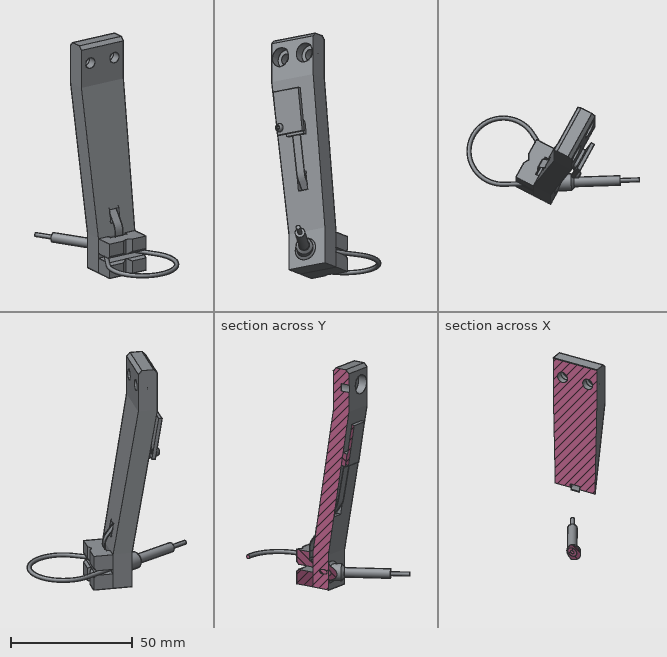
import cadquery as cq
import math

total_height = 96.0
arm_thickness = 8.1
foot_width = 18.1
head_width = 20.9
foot_height = 15.0
head_height = 18.0
head_setback = 10.4
head_chamfer = 1.5
head_bottom = total_height - head_height

mount_hole_diameter = 4.5
counterbore_diameter = 8.0
counterbore_depth = 4.0
mount_hole_spacing = 12.0
mount_hole_drop = 8.0

jaw_depth = 8.2
jaw_gap = 2.0
jaw_edge_chamfer = 1.1
groove_half_width = 2.2
groove_depth = 1.2
recess_width = 8.2
recess_depth = 1.5
recess_height = 3.8

cable_diameter = 1.7
cable_height = foot_height / 2
cable_angle = 30.0
loop_radius = 14.1
loop_center_x = 26.9
tail_end_x = -28.3
strand_end_x = 3.8

sleeve_diameter = 4.0
sleeve_end_x = -21.4
boot_diameter = 7.0
boot_end_x = -5.0
boot_chamfer = 1.2
skirt_length = 0.9
skirt_spread = 1.1

block_width = 8.4
block_thickness = 2.0
block_bottom = 40.0
block_height = 5.9
block_fillet = 1.3

plate_width = 12.5
plate_height = 18.0
plate_thickness = 1.5
plate_bottom = 41.1
plate_left = 7.7

screw_y = 6.2
screw_up = 44.0
screw_head_diameter = 3.5
screw_head_height = 1.4
screw_shank_diameter = 2.0
socket_width = 1.4
socket_depth = 0.6

strip_width = 3.8
strip_thickness = 0.3
strip_seat = 1.0
strip_top_offset = 1.0
strip_bend_offset = 0.6
strip_bend_up = 24.3
strip_dive_angle = 53.0
strip_foot_x = 9.8
strip_foot_radius = 6.2
strip_foot_rise = 1.5
strip_clamped_length = 2.9
window_width = 4.6
window_rear_top = 24.9
window_rear_bottom = 17.2
window_sill = 1.5
window_front_top = 9.6
window_front_bottom = 3.8

slope_rise = head_bottom - foot_height
slope_length = math.hypot(head_setback, slope_rise)
slope_sin = head_setback / slope_length
slope_cos = slope_rise / slope_length
slope_thickness = arm_thickness * slope_cos


def slope_point(up, out):
    """(x, z) of a point 'up' along the slope and 'out' from its rear face."""
    return (-up * slope_sin - out * slope_cos, foot_height + up * slope_cos - out * slope_sin)


def slope_plane(out):
    """Plane parallel to the rear slope: local x is -Y, local y runs up the slope."""
    x, z = slope_point(0, out)
    return cq.Workplane(cq.Plane((x, 0, z), (0, -1, 0), (-slope_cos, 0, -slope_sin)))


cable_cos = math.cos(math.radians(cable_angle))
cable_sin = math.sin(math.radians(cable_angle))
strand_cross_x = loop_center_x - loop_radius / cable_sin


def tail_point(x):
    """Point on the tail's centre line at a given X."""
    return cq.Vector(x, (x - strand_cross_x) * cable_sin / cable_cos, cable_height)


def tail_cylinder(diameter, end_x):
    """Cylinder around the tail, from its end back to inside the arm's foot."""
    end = tail_point(end_x)
    length = (arm_thickness - end_x) / cable_cos
    plane = cq.Plane(end, (0, 0, 1), (cable_cos, cable_sin, 0))
    return cq.Workplane(plane).circle(diameter / 2).extrude(length)


def behind_foot(body):
    """Keep only what lies behind the rear face of the foot."""
    size = total_height
    return body.intersect(cq.Workplane().box(size, size, size).translate((-size / 2, 0, 0)))


def make_cable():
    tail = tail_point(tail_end_x)
    joint_x = loop_center_x - loop_radius * cable_sin
    joint_y = loop_radius * cable_cos
    strand_end_y = -tail_point(strand_end_x).y
    path = (
        cq.Workplane("XY", origin=(0, 0, cable_height))
        .moveTo(tail.x, tail.y)
        .lineTo(joint_x, joint_y)
        .threePointArc((loop_center_x + loop_radius, 0), (joint_x, -joint_y))
        .lineTo(strand_end_x, strand_end_y)
    )
    plane = cq.Plane(tail, (0, 0, 1), (cable_cos, cable_sin, 0))
    return cq.Workplane(plane).circle(cable_diameter / 2).sweep(path)


def make_sleeve(cable):
    return behind_foot(tail_cylinder(sleeve_diameter, sleeve_end_x)).cut(cable)


def make_boot(sleeve, cable):
    barrel = tail_cylinder(boot_diameter, boot_end_x).faces("<X").edges().chamfer(boot_chamfer)
    foot_spot = tail_point(0)
    skirt_spot = tail_point(-skirt_length)
    radius = boot_diameter / 2
    skirt = (
        cq.Workplane("YZ", origin=foot_spot.toTuple())
        .ellipse(radius / cable_cos + skirt_spread, radius + skirt_spread)
        .workplane(offset=-skirt_length)
        .center(skirt_spot.y - foot_spot.y, 0)
        .ellipse(radius / cable_cos, radius)
        .loft()
    )
    return behind_foot(barrel.union(skirt)).cut(sleeve).cut(cable)


def make_strip():
    top = slope_point(block_bottom + strip_seat, strip_top_offset)
    bend = slope_point(strip_bend_up, strip_bend_offset)
    approach = math.atan2(top[1] - bend[1], bend[0] - top[0])
    dive = math.radians(strip_dive_angle)
    foot_start_x = strip_foot_x - strip_foot_radius * (1 - math.sin(dive))
    foot_top = foot_height + strip_foot_rise
    foot_start_z = foot_top + strip_foot_radius * math.cos(dive)
    run = foot_start_x - bend[0]
    drop = bend[1] - foot_start_z
    bend_run = math.sin(approach) - math.sin(dive)
    bend_drop = math.cos(dive) - math.cos(approach)
    bend_radius = (run * math.tan(dive) - drop) / (bend_run * math.tan(dive) - bend_drop)

    def bend_point(angle):
        return (
            bend[0] + bend_radius * (math.sin(approach) - math.sin(angle)),
            bend[1] - bend_radius * (math.cos(angle) - math.cos(approach)),
        )

    def foot_point(angle):
        return (
            strip_foot_x - strip_foot_radius * (1 - math.sin(angle)),
            foot_top + strip_foot_radius * math.cos(angle),
        )

    path = (
        cq.Workplane("XZ")
        .moveTo(*top)
        .lineTo(*bend)
        .threePointArc(bend_point((approach + dive) / 2), bend_point(dive))
        .lineTo(*foot_point(dive))
        .threePointArc(foot_point((dive + math.pi / 2) / 2), (strip_foot_x, foot_top))
        .lineTo(strip_foot_x, foot_height - strip_clamped_length)
    )
    heading = (math.cos(approach), 0, -math.sin(approach))
    start = cq.Plane((top[0], 0, top[1]), (0, 1, 0), heading)
    return cq.Workplane(start).rect(strip_width, strip_thickness).sweep(path)


def make_arm(cable):
    side = (
        cq.Workplane("XZ")
        .polyline([
            (0, 0),
            (arm_thickness, 0),
            (arm_thickness, foot_height),
            (arm_thickness - head_setback, head_bottom),
            (arm_thickness - head_setback, total_height),
            (-head_setback, total_height),
            (-head_setback, head_bottom),
            (0, foot_height),
        ])
        .close()
        .extrude(head_width / 2, both=True)
        .faces(">Z").edges("|Y").chamfer(head_chamfer)
    )
    front = (
        cq.Workplane("YZ")
        .polyline([
            (-foot_width / 2, 0),
            (foot_width / 2, 0),
            (foot_width / 2, foot_height),
            (head_width / 2, head_bottom),
            (head_width / 2, total_height),
            (-head_width / 2, total_height),
            (-head_width / 2, head_bottom),
            (-foot_width / 2, foot_height),
        ])
        .close()
        .extrude(total_height, both=True)
    )
    mount_holes = (
        cq.Workplane("YZ", origin=(-head_setback, 0, total_height - mount_hole_drop))
        .pushPoints([(-mount_hole_spacing / 2, 0), (mount_hole_spacing / 2, 0)])
    )
    window = (
        cq.Workplane("XZ")
        .polyline([
            slope_point(window_rear_top, 0),
            slope_point(window_front_top, -slope_thickness),
            slope_point(window_front_bottom, -slope_thickness),
            slope_point(window_rear_bottom, -window_sill),
            slope_point(window_rear_bottom, 0),
        ])
        .close()
        .extrude(window_width / 2, both=True)
    )
    return (
        side.intersect(front)
        .cut(mount_holes.circle(mount_hole_diameter / 2).extrude(arm_thickness))
        .cut(mount_holes.circle(counterbore_diameter / 2).extrude(counterbore_depth))
        .cut(window)
        .cut(cable)
    )


def make_jaw(bottom, top, gap_edge):
    """Jaw block with a vertical V groove and a chamfer along the cable gap."""
    front_x = arm_thickness + jaw_depth
    block = (
        cq.Workplane("XY", origin=(arm_thickness + jaw_depth / 2, 0, bottom))
        .rect(jaw_depth, foot_width)
        .extrude(top - bottom)
        .faces(gap_edge).edges(">X").chamfer(jaw_edge_chamfer)
    )
    groove = (
        cq.Workplane("XY")
        .polyline([
            (front_x, -groove_half_width),
            (front_x - groove_depth, 0),
            (front_x, groove_half_width),
        ])
        .close()
        .extrude(foot_height)
    )
    return block.cut(groove)


def make_upper_jaw(strip):
    jaw = make_jaw(cable_height + jaw_gap / 2, foot_height, "<Z")
    recess = (
        cq.Workplane("XY", origin=(arm_thickness + recess_depth / 2, 0, foot_height))
        .rect(recess_depth, recess_width)
        .extrude(-recess_height)
    )
    return jaw.cut(recess).cut(strip)


def make_lower_jaw():
    return make_jaw(0, cable_height - jaw_gap / 2, ">Z")


def make_mount_block(strip):
    blank = (
        slope_plane(0)
        .center(0, block_bottom)
        .moveTo(-block_width / 2, 0)
        .lineTo(block_width / 2, 0)
        .lineTo(block_width / 2, block_height - block_fillet)
        .tangentArcPoint((-block_fillet, block_fillet))
        .lineTo(block_fillet - block_width / 2, block_height)
        .tangentArcPoint((-block_fillet, -block_fillet))
        .close()
    )
    return blank.extrude(block_thickness).cut(strip)


def make_screw():
    plate_face = block_thickness + plate_thickness
    dome = (
        slope_plane(plate_face)
        .center(-screw_y, screw_up)
        .sphere(screw_head_diameter / 2)
    )
    head = (
        slope_plane(plate_face)
        .center(-screw_y, screw_up)
        .circle(screw_head_diameter / 2)
        .extrude(screw_head_height)
        .intersect(dome)
    )
    shank = (
        slope_plane(block_thickness)
        .center(-screw_y, screw_up)
        .circle(screw_shank_diameter / 2)
        .extrude(plate_thickness)
    )
    socket = (
        slope_plane(plate_face + screw_head_height)
        .center(-screw_y, screw_up)
        .polygon(6, socket_width)
        .extrude(-socket_depth)
    )
    return head.union(shank).cut(socket)


def make_plate(screw):
    return (
        slope_plane(block_thickness)
        .center(plate_width / 2 - plate_left, plate_bottom + plate_height / 2)
        .rect(plate_width, plate_height)
        .extrude(plate_thickness)
        .cut(screw)
    )


cable = make_cable()
sleeve = make_sleeve(cable)
boot = make_boot(sleeve, cable)
strip = make_strip()
arm = make_arm(cable)
upper_jaw = make_upper_jaw(strip)
lower_jaw = make_lower_jaw()
mount_block = make_mount_block(strip)
screw = make_screw()
plate = make_plate(screw)

bodies = [arm, upper_jaw, lower_jaw, cable, sleeve, boot, strip, mount_block, plate, screw]
result = cq.Compound.makeCompound([body.val() for body in bodies])